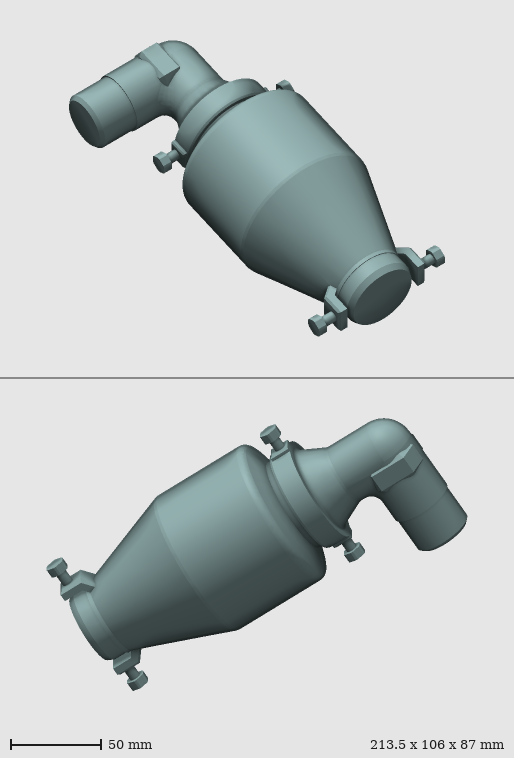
import cadquery as cq
import math

total_length = 213.5
pipe_radius = 17.5
body_radius = 43.5
reducer_start_x = 44.4
reducer_end_radius = 25.0
reducer_start_round = 3.5
reducer_end_round = 2.5
flange_start_x = 60.2
flange_end_x = 73.6
flange_radius = 30.7
flange_chamfer_length = 1.3
flange_chamfer_depth = 0.6
neck_radius = 27.5
shoulder_start_x = 77.7
shoulder_end_x = 83.7
shoulder_round = 4.7
taper_start_x = 141.0
taper_end_x = 198.9
taper_round = 6.0
collar_radius = 22.5
collar_end_x = 201.2
spigot_radius = 21.8
spigot_chamfer_length = 3.8
spigot_chamfer_depth = 1.7

outlet_x = pipe_radius
sleeve_end_y = -37.3
outlet_end_y = -61.0
outlet_radius = 16.6
outlet_chamfer = 2.1
elbow_inner_round = 7.5

hex_across_flats = 36.7
hex_start_y = -1.3
hex_end_y = -16.2
hex_chamfer = 2.3
hex_side_gap = 15.0

head_across_flats = 10.5
head_corner_diameter = 11.3
head_height = 5.3
shank_diameter = 6.2

flange_bolt_x = 65.0
flange_bolt_end_y = 45.0
pad_length = 11.5
pad_width = 12.4
pad_top_y = 32.7
pad_base_y = 26.5
pad_chamfer = 0.9

lug_bolt_x = 207.9
lug_bolt_end_y = 43.3

lug_top_y = 29.9
lug_thickness = 5.5
lug_width = 17.0
lug_bend_x = 199.3
lug_inner_bend_x = 201.7
lug_slope = 51.0
lug_chamfer = 1.3
lug_foot_y = 19.2

selection_margin = 0.2


def round_ring(solid, x, ring_radius, fillet_radius):
    """Fillet the circular edge lying at the given X around the main axis."""
    reach = ring_radius + selection_margin
    near_corner = (x - selection_margin, -reach, -reach)
    far_corner = (x + selection_margin, reach, reach)
    ring = cq.selectors.BoxSelector(near_corner, far_corner, boundingbox=True)
    return solid.edges(ring).edges("%CIRCLE").fillet(fillet_radius)


def turned_body():
    outline = [
        (reducer_start_x, 0),
        (reducer_start_x, pipe_radius),
        (flange_start_x, reducer_end_radius),
        (flange_start_x, flange_radius),
        (flange_end_x - flange_chamfer_length, flange_radius),
        (flange_end_x, flange_radius - flange_chamfer_depth),
        (flange_end_x, neck_radius),
        (shoulder_start_x, neck_radius),
        (shoulder_end_x, body_radius),
        (taper_start_x, body_radius),
        (taper_end_x, collar_radius),
        (collar_end_x, collar_radius),
        (collar_end_x, spigot_radius),
        (total_length - spigot_chamfer_length, spigot_radius),
        (total_length, spigot_radius - spigot_chamfer_depth),
        (total_length, 0),
    ]
    body = cq.Workplane("XY").polyline(outline).close().revolve(360, (0, 0, 0), (1, 0, 0))
    body = round_ring(body, shoulder_end_x, body_radius, shoulder_round)
    body = round_ring(body, taper_start_x, body_radius, taper_round)
    return round_ring(body, flange_start_x, reducer_end_radius, reducer_end_round)


def cylinder_along_y(x, radius, start_y, end_y):
    direction = cq.Vector(0, math.copysign(1, end_y - start_y), 0)
    solid = cq.Solid.makeCylinder(radius, abs(end_y - start_y), cq.Vector(x, start_y, 0), direction)
    return cq.Workplane(obj=solid)


def elbow():
    """Sleeve with a spherical nose, met at right angles by the inlet pipe."""
    nose_midpoint = pipe_radius * math.sqrt(0.5)
    sleeve = (
        cq.Workplane("XY")
        .moveTo(0, pipe_radius)
        .threePointArc((nose_midpoint, nose_midpoint), (pipe_radius, 0))
        .lineTo(pipe_radius, sleeve_end_y)
        .lineTo(0, sleeve_end_y)
        .close()
        .revolve(360, (0, 0, 0), (0, 1, 0))
        .translate((outlet_x, 0, 0))
    )
    pipe = cq.Workplane("YZ").circle(pipe_radius).extrude(reducer_start_x - outlet_x)
    joined = sleeve.union(pipe.translate((outlet_x, 0, 0)))
    return joined.edges("%ELLIPSE").fillet(elbow_inner_round)


def outlet_stub():
    stub = cylinder_along_y(outlet_x, outlet_radius, sleeve_end_y, outlet_end_y)
    return stub.faces("<Y").chamfer(outlet_chamfer)


def hexagon_prism(across_flats, length):
    """Hexagonal prism along -Y from the origin, with flats facing up and down."""
    corner_diameter = across_flats / math.cos(math.pi / 6)
    return cq.Workplane("XZ").polygon(6, corner_diameter).extrude(length)


def wrench_collar():
    length = hex_start_y - hex_end_y
    collar = hexagon_prism(hex_across_flats, length)
    collar = collar.faces("<Y or >Y").chamfer(hex_chamfer)
    collar = collar.translate((outlet_x, hex_start_y, 0))
    side_gap = cq.Workplane("XY").box(2 * hex_across_flats, length, hex_side_gap)
    mid_y = (hex_start_y + hex_end_y) / 2
    return collar.cut(side_gap.translate((outlet_x, mid_y, 0)))


def bolt(x, start_y, end_y):
    """Hexagon bolt along +Y with its head ending at end_y."""
    head_base_y = end_y - head_height
    quarter_turn = 90
    head = hexagon_prism(head_across_flats, head_height)
    head = head.rotate((0, 0, 0), (0, 1, 0), quarter_turn).translate((x, end_y, 0))
    head = head.intersect(cylinder_along_y(x, head_corner_diameter / 2, head_base_y, end_y))
    return head.union(cylinder_along_y(x, shank_diameter / 2, start_y, head_base_y))


def flange_bolt():
    pad = cq.Workplane("XY").box(
        pad_length, pad_top_y - pad_base_y, pad_width, centered=(False, False, True)
    )
    pad = pad.faces(">Y").edges("not <X").chamfer(pad_chamfer)
    pad = pad.translate((flange_start_x, pad_base_y, 0))
    return pad.union(bolt(flange_bolt_x, pad_base_y, flange_bolt_end_y))


def lug():
    lug_base_y = lug_top_y - lug_thickness
    run_per_rise = 1 / math.tan(math.radians(lug_slope))
    inner_foot_x = lug_inner_bend_x - (lug_base_y - lug_foot_y) * run_per_rise
    outer_foot_x = lug_bend_x - (lug_top_y - lug_foot_y) * run_per_rise
    outline = [
        (lug_bend_x, lug_top_y),
        (total_length, lug_top_y),
        (total_length, lug_base_y),
        (lug_inner_bend_x, lug_base_y),
        (inner_foot_x, lug_foot_y),
        (outer_foot_x, lug_foot_y),
    ]
    plate = cq.Workplane("XY").polyline(outline).close().extrude(lug_width / 2, both=True)
    sloping_face_center = ((lug_bend_x + outer_foot_x) / 2, (lug_top_y + lug_foot_y) / 2, 0)
    sloping_face = plate.faces(cq.selectors.NearestToPointSelector(sloping_face_center))
    rim = plate.faces(">Y").edges("not <X").add(sloping_face.edges("not |Z"))
    return rim.chamfer(lug_chamfer)


def lug_bolt():
    return bolt(lug_bolt_x, lug_top_y - lug_thickness, lug_bolt_end_y)


shell = elbow().union(turned_body())
shell = round_ring(shell, reducer_start_x, pipe_radius, reducer_start_round)
result = shell.union(outlet_stub()).union(wrench_collar())
for fitting in (flange_bolt(), lug(), lug_bolt()):
    result = result.union(fitting).union(fitting.mirror("XZ"))